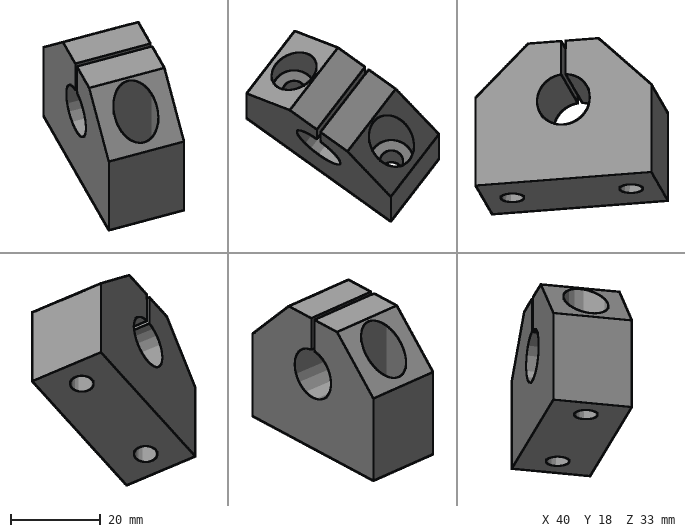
import cadquery as cq

width = 40
depth = 18
height = 33.0
shoulder_chamfer = 12

bore_diameter = 12
bore_height = 19.0
slit_width = 1.0

bolt_spacing = 27.0
bolt_hole_diameter = 5.2
counterbore_diameter = 10
counterbore_floor = 10


def make_block():
    """Block standing on Z = 0 with both top shoulders cut off at 45 degrees."""
    block = cq.Workplane("XY").box(width, depth, height, centered=(True, True, False))
    return block.faces(">Z").edges("|Y").chamfer(shoulder_chamfer)


def make_clamp_opening():
    """Bore along Y, joined to the top face by a narrow slit."""
    bore = (
        cq.Workplane("XZ")
        .center(0, bore_height)
        .circle(bore_diameter / 2)
        .extrude(depth / 2, both=True)
    )
    slit_length = height - bore_height
    slit = (
        cq.Workplane("XY", origin=(0, 0, bore_height))
        .box(slit_width, depth, slit_length, centered=(True, True, False))
    )
    return bore.union(slit)


def make_bolt_hole(x):
    """Vertical through hole with a deep counterbore opening on the shoulder."""
    hole = cq.Workplane("XY").center(x, 0).circle(bolt_hole_diameter / 2).extrude(height)
    counterbore = (
        cq.Workplane("XY", origin=(x, 0, counterbore_floor))
        .circle(counterbore_diameter / 2)
        .extrude(height - counterbore_floor)
    )
    return hole.union(counterbore)


result = make_block().cut(make_clamp_opening())
for side in (-1, 1):
    result = result.cut(make_bolt_hole(side * bolt_spacing / 2))